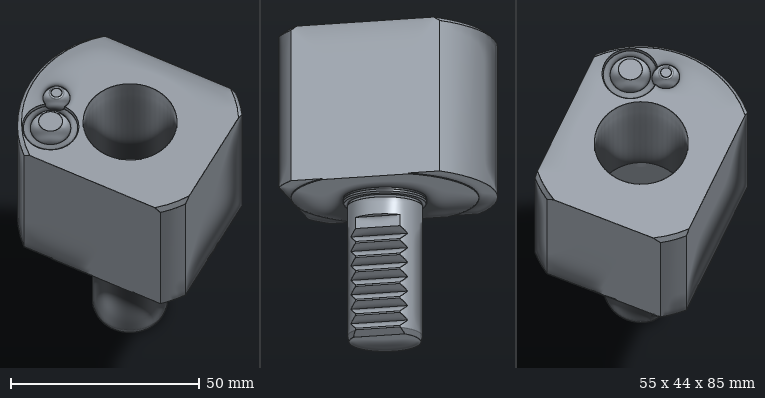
import cadquery as cq
import math

block_radius = 30.0
block_height = 42.9
block_width = 44.0
end_flat_x = 25.05
rim_chamfer = 1.1
seat_diameter = 50.0
seat_height = 0.25
bore_diameter = 25.0
bore_depth = 34.0

collar_diameter = 22.3
collar_height = 1.6
collar_chamfer_width = 0.25
collar_chamfer_height = 0.5
collar_relief_depth = 0.1
collar_relief_height = 0.5
shank_diameter = 20.0
shank_length = 39.65
neck_diameter = 19.5
neck_end_depth = 2.4
tip_chamfer_height = 1.5
tip_chamfer_width = 0.4

flat_y = 8.0
flat_start_depth = 7.05
tooth_pitch = 4.0
tooth_depth = 1.6
groove_half_width = 1.8
first_groove_depth = 11.9
groove_count = 8

head_rise = 2.4
nozzle_center = (-18.1, -11.0)
nozzle_radius = 5.6
nozzle_flat_diameter = 6.4
recess_top_diameter = 15.0
recess_floor_diameter = 14.4
recess_depth = 0.7
screw_center = (-21.0, -1.95)
screw_radius = 3.7
screw_shoulder_radius = 1.95
screw_tip_radius = 1.45
screw_tip_height = 0.2
head_root_depth = 1.7


def revolve_profile(points):
    """Revolve an (r, z) outline about the Z axis."""
    return cq.Workplane("XZ").polyline(points).close().revolve(360, (0, 0, 0), (0, 1, 0))


def make_block():
    disc = cq.Workplane("XY").workplane(offset=seat_height).circle(block_radius)
    disc = disc.extrude(block_height - seat_height).faces(">Z").chamfer(rim_chamfer)
    seat = cq.Workplane("XY").circle(seat_diameter / 2).extrude(seat_height)
    trim_length = block_radius + end_flat_x
    trim = cq.Workplane("XY").box(trim_length, block_width, block_height, centered=(False, True, False))
    return disc.union(seat).intersect(trim.translate((-block_radius, 0, 0)))


def make_shank():
    collar_r = collar_diameter / 2
    shank_r = shank_diameter / 2
    neck_r = neck_diameter / 2
    shank = revolve_profile([
        (0, 0),
        (collar_r - collar_relief_depth, 0),
        (collar_r - collar_relief_depth, -collar_relief_height),
        (collar_r, -collar_relief_height),
        (collar_r, collar_chamfer_height - collar_height),
        (collar_r - collar_chamfer_width, -collar_height),
        (neck_r, -collar_height),
        (shank_r, -neck_end_depth),
        (shank_r, tip_chamfer_height - shank_length),
        (shank_r - tip_chamfer_width, -shank_length),
        (0, -shank_length),
    ])
    return shank.cut(make_rack_cutter())


def make_rack_cutter():
    flat_height = shank_length - flat_start_depth
    cutter = cq.Workplane("XY").box(
        shank_diameter, shank_diameter, flat_height, centered=(True, False, False)
    ).translate((0, flat_y, -shank_length))
    for index in range(groove_count):
        z = -first_groove_depth - index * tooth_pitch
        groove = (
            cq.Workplane("YZ")
            .moveTo(flat_y - tooth_depth, z)
            .lineTo(flat_y, z + groove_half_width)
            .lineTo(flat_y, z - groove_half_width)
            .close()
            .extrude(shank_diameter / 2, both=True)
        )
        cutter = cutter.union(groove)
    return cutter


def make_ball_head(radius, flat_radius, flat_height):
    """Ball cut flat at flat_height, with a cylindrical root below its equator."""
    center_z = flat_height - math.sqrt(radius**2 - flat_radius**2)
    middle_r = radius * math.cos(math.pi / 4)
    middle_z = center_z + radius * math.sin(math.pi / 4)
    root_z = center_z - head_root_depth
    return (
        cq.Workplane("XZ")
        .moveTo(0, root_z)
        .lineTo(radius, root_z)
        .lineTo(radius, center_z)
        .threePointArc((middle_r, middle_z), (flat_radius, flat_height))
        .lineTo(0, flat_height)
        .close()
        .revolve(360, (0, 0, 0), (0, 1, 0))
    )


def on_top(shape, center):
    return shape.translate((center[0], center[1], block_height))


recess = revolve_profile([
    (0, 0),
    (recess_top_diameter / 2, 0),
    (recess_floor_diameter / 2, -recess_depth),
    (0, -recess_depth),
])
nozzle = make_ball_head(nozzle_radius, nozzle_flat_diameter / 2, head_rise)

shoulder_height = head_rise - screw_tip_height
screw_tip = revolve_profile([
    (0, shoulder_height),
    (screw_shoulder_radius, shoulder_height),
    (screw_tip_radius, head_rise),
    (0, head_rise),
])
screw = make_ball_head(screw_radius, screw_shoulder_radius, shoulder_height).union(screw_tip)

bore = cq.Workplane("XY").circle(bore_diameter / 2).extrude(-bore_depth)

result = (
    make_block()
    .union(make_shank())
    .cut(on_top(bore, (0, 0)))
    .cut(on_top(recess, nozzle_center))
    .union(on_top(nozzle, nozzle_center))
    .union(on_top(screw, screw_center))
)